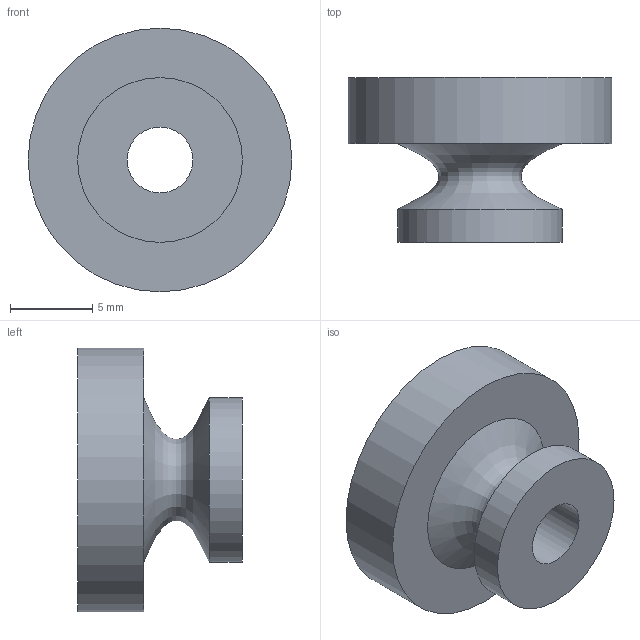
import cadquery as cq

flange_radius = 8.0
flange_thickness = 4.0
collar_radius = 5.0
collar_thickness = 2.0
neck_length = 4.0
waist_radius = 2.5
bore_radius = 2.0

collar_front = 0.0
collar_back = collar_front + collar_thickness
waist = collar_back + neck_length / 2
flange_front = collar_back + neck_length
flange_back = flange_front + flange_thickness


def turned_body():
    """Collar, waisted neck and flange around a plain through bore."""
    half_profile = (
        cq.Workplane("XY")
        .moveTo(bore_radius, collar_front)
        .lineTo(collar_radius, collar_front)
        .lineTo(collar_radius, collar_back)
        .spline([(waist_radius, waist), (collar_radius, flange_front)], includeCurrent=True)
        .lineTo(flange_radius, flange_front)
        .lineTo(flange_radius, flange_back)
        .lineTo(bore_radius, flange_back)
        .close()
    )
    return half_profile.revolve(360, (0, 0, 0), (0, 1, 0))


result = turned_body()